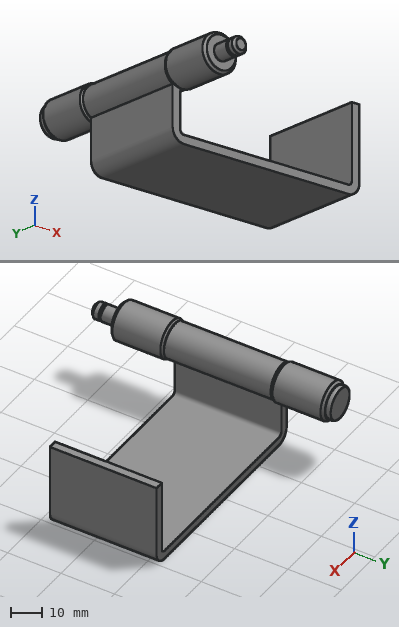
import cadquery as cq


pin_radius = 3.0
pin_reach = 9.7
groove_radius = 2.5
groove_width = 0.8
groove_to_tip = 3.0
tip_chamfer = 1.0
head_radius = 6.0
head_end_radius = 5.7
head_length = 2.0

sleeve_radius = 7.0
sleeve_length = 20.0
sleeve_chamfer = 1.0

knuckle_radius = 6.5
leaf_width = 40.0
plate_thickness = 3.2
bend_inner_radius = 1.5
bend_outer_radius = bend_inner_radius + plate_thickness
leg_inner_x = 0.0
leg_outer_x = leg_inner_x - plate_thickness
far_leg_x = 74.8
far_leg_top_z = 6.6
base_bottom_z = -25.0

knuckle_end_y = leaf_width / 2
sleeve_end_y = knuckle_end_y + sleeve_length
head_end_y = sleeve_end_y + head_length
tip_y = -sleeve_end_y - pin_reach
groove_front_y = tip_y + groove_to_tip
groove_back_y = groove_front_y + groove_width


def axis_cylinder(radius, start_y, end_y):
    """Solid cylinder on the hinge axis between two Y stations."""
    return cq.Workplane("XZ", origin=(0, end_y, 0)).circle(radius).extrude(end_y - start_y)


def make_leaf():
    """Bent plate and knuckle as one body, bored for the pin."""
    base_top_z = base_bottom_z + plate_thickness
    far_leg_inner_x = far_leg_x - plate_thickness
    plate = (
        cq.Workplane("XZ", origin=(0, knuckle_end_y, 0))
        .moveTo(leg_outer_x, 0)
        .lineTo(leg_outer_x, base_bottom_z)
        .lineTo(far_leg_x, base_bottom_z)
        .lineTo(far_leg_x, far_leg_top_z)
        .lineTo(far_leg_inner_x, far_leg_top_z)
        .lineTo(far_leg_inner_x, base_top_z)
        .lineTo(leg_inner_x, base_top_z)
        .lineTo(leg_inner_x, 0)
        .close()
        .extrude(leaf_width)
    )
    outer_corners = [(x, 0, base_bottom_z) for x in (leg_outer_x, far_leg_x)]
    inner_corners = [(x, 0, base_top_z) for x in (leg_inner_x, far_leg_inner_x)]
    for corners, radius in ((outer_corners, bend_outer_radius), (inner_corners, bend_inner_radius)):
        for corner in corners:
            plate = plate.edges(cq.NearestToPointSelector(corner)).fillet(radius)
    knuckle = axis_cylinder(knuckle_radius, -knuckle_end_y, knuckle_end_y)
    bore = axis_cylinder(pin_radius, -knuckle_end_y, knuckle_end_y)
    return plate.union(knuckle).cut(bore)


def make_sleeve(start_y):
    """Sleeve chamfered at both outer rims and bored for the pin."""
    end_y = start_y + sleeve_length
    body = axis_cylinder(sleeve_radius, start_y, end_y).faces("<Y or >Y").chamfer(sleeve_chamfer)
    return body.cut(axis_cylinder(pin_radius, start_y, end_y))


def make_pin():
    """Headed pin with a retaining groove close to its chamfered tip."""
    shank = axis_cylinder(pin_radius, tip_y, sleeve_end_y).faces("<Y").chamfer(tip_chamfer)
    head_middle_y = sleeve_end_y + head_length / 2
    head = (
        cq.Workplane("XY")
        .moveTo(0, sleeve_end_y)
        .lineTo(head_end_radius, sleeve_end_y)
        .threePointArc((head_radius, head_middle_y), (head_end_radius, head_end_y))
        .lineTo(0, head_end_y)
        .close()
        .revolve(360, (0, 0, 0), (0, 1, 0))
    )
    groove = axis_cylinder(pin_radius, groove_front_y, groove_back_y).cut(
        axis_cylinder(groove_radius, groove_front_y, groove_back_y)
    )
    return shank.union(head).cut(groove)


leaf = make_leaf()
sleeves = [make_sleeve(start_y) for start_y in (-sleeve_end_y, knuckle_end_y)]
pin = make_pin()

result = cq.Compound.makeCompound([leaf.val(), *[sleeve.val() for sleeve in sleeves], pin.val()])